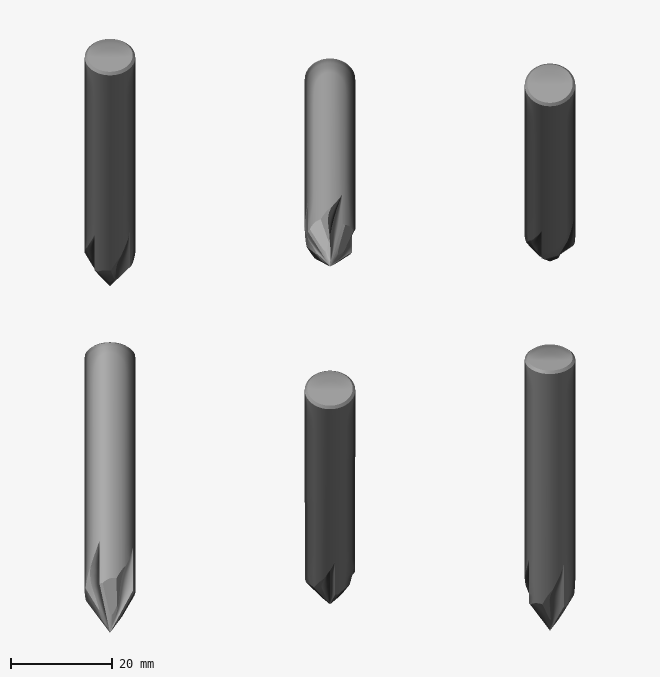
import cadquery as cq
import math

diameter = 10.0
overall_length = 66.0
shank_chamfer = 0.5
point_angle = 60.0
tooth_count = 4

flute_wall_radius = 8.0
flute_wall_start_angle = 20.0
flute_runout_rise = 10.2

relief_azimuth = 34.3
relief_lean = 25.8
relief_offset = 0.26
heel_azimuth = 79.3
heel_lean = 15.0
heel_offset = 1.2

radius = diameter / 2
cone_height = radius / math.tan(math.radians(point_angle / 2))
runout_radius = (radius**2 + flute_runout_rise**2) / (2 * radius)
tooth_pitch = 360.0 / tooth_count
cutter_size = 4 * diameter


def quadrant():
    """Space of one tooth, from its rake face (X = 0) to the rake face of the next tooth (Y = 0)."""
    return cq.Workplane("XY").box(cutter_size, cutter_size, cutter_size).translate(
        (cutter_size / 2, -cutter_size / 2, 0)
    )


def flute_section(height):
    """Flute section: flat along the next rake face, with the rounded tooth back on the other side."""
    start = math.radians(flute_wall_start_angle)
    end = math.pi / 2
    center_x = -flute_wall_radius * math.sin(start)
    center_y = -flute_wall_radius * math.cos(start)

    def wall_point(angle):
        return (
            center_x + flute_wall_radius * math.sin(angle),
            center_y + flute_wall_radius * math.cos(angle),
        )

    wall_end = wall_point(end)
    return (
        cq.Workplane("XY", origin=(0, 0, height))
        .moveTo(0, 0)
        .threePointArc(wall_point((start + end) / 2), wall_end)
        .lineTo(runout_radius, wall_end[1])
        .lineTo(runout_radius, 0)
        .close()
    )


def make_flute():
    """Flute that runs straight along the cone and curves outward above it."""
    straight = flute_section(0).extrude(cone_height)
    runout = flute_section(cone_height).revolve(90, (runout_radius, 0), (runout_radius, 1))
    return straight.union(runout)


def make_clearance(azimuth, lean, offset):
    """Everything outside a flat clearance face, within the space of one tooth."""
    turn = math.radians(azimuth)
    tilt = math.radians(lean)
    normal = cq.Vector(
        math.cos(tilt) * math.sin(turn),
        -math.cos(tilt) * math.cos(turn),
        -math.sin(tilt),
    )
    face = cq.Plane(origin=(normal * offset).toTuple(), normal=normal.toTuple())
    outside = cq.Workplane(face).rect(cutter_size, cutter_size).extrude(cutter_size)
    return outside.intersect(quadrant())


def make_tooth_cutter():
    """All that is ground away around one tooth: its flute and both clearances."""
    relief = make_clearance(relief_azimuth, relief_lean, relief_offset)
    heel_relief = make_clearance(heel_azimuth, heel_lean, heel_offset)
    return make_flute().union(relief).union(heel_relief)


def turn_to_tooth(shape, index):
    """Copy of a shape turned about the tool axis to the given tooth."""
    return shape.rotate((0, 0, 0), (0, 0, 1), index * tooth_pitch)


def make_body(tooth_cutter):
    """Shank down to the cone base, with the upper ends of the flutes."""
    body = (
        cq.Workplane("XZ")
        .moveTo(0, cone_height)
        .lineTo(radius, cone_height)
        .lineTo(radius, overall_length - shank_chamfer)
        .lineTo(radius - shank_chamfer, overall_length)
        .lineTo(0, overall_length)
        .close()
        .revolve(360, (0, 0), (0, 1))
    )
    for index in range(tooth_count):
        body = body.cut(turn_to_tooth(tooth_cutter, index))
    return body


def make_tooth(tooth_cutter):
    """One tooth of the conical point, with its rake face on X = 0."""
    cone = (
        cq.Workplane("XZ")
        .polyline([(0, 0), (radius, cone_height), (0, cone_height)])
        .close()
        .revolve(360, (0, 0), (0, 1))
    )
    return cone.intersect(quadrant()).cut(tooth_cutter)


tooth_cutter = make_tooth_cutter()
body = make_body(tooth_cutter)
tooth = make_tooth(tooth_cutter)
teeth = [turn_to_tooth(tooth, index).solids().val() for index in range(tooth_count)]

result = cq.Compound.makeCompound([body.solids().val(), *teeth])